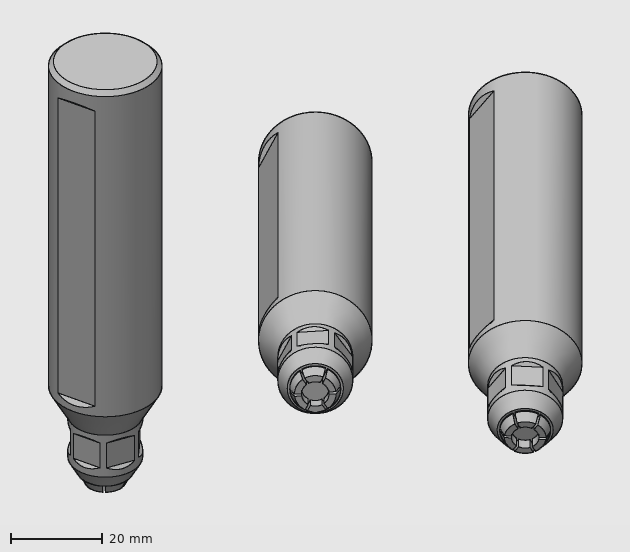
import cadquery as cq

total_length = 110.0
body_diameter = 25.0
top_chamfer = 1.1

collet_height = 2.6
collet_rim = 0.3
neck_bottom = 6.4
neck_top = 17.4
body_bottom = 25.0

neck_diameter = 16.5
nose_diameter = 12.3
collet_diameter = 11.2
tip_diameter = 9.1

bore_diameter = 6.0
slot_width = 0.5
slot_count = 6

body_flat_bottom = 26.6
body_flat_top = 105.9
body_flat_depth = 1.0
body_flat_count = 2

neck_flat_bottom = 8.0
neck_flat_top = 16.1
neck_flat_depth = 0.8
neck_flat_count = 6


def turned_shape():
    """Solid of revolution: collet tip, nose cone, neck, shoulder cone and body."""
    body_radius = body_diameter / 2
    outline = [
        (0, 0),
        (tip_diameter / 2, 0),
        (collet_diameter / 2, collet_height - collet_rim),
        (collet_diameter / 2, collet_height),
        (nose_diameter / 2, collet_height),
        (neck_diameter / 2, neck_bottom),
        (neck_diameter / 2, neck_top),
        (body_radius, body_bottom),
        (body_radius, total_length - top_chamfer),
        (body_radius - top_chamfer, total_length),
        (0, total_length),
    ]
    axis_end = (0, 1)
    return cq.Workplane("XZ").polyline(outline).close().revolve(360, (0, 0), axis_end)


def flat_cutter(diameter, bottom, top, depth, angle):
    """Cutter for a flat with 45-degree run-outs; at angle 0 the flat faces -Y."""
    radius = diameter / 2
    floor = radius - depth
    profile = [
        (-radius, bottom),
        (-floor, bottom + depth),
        (-floor, top - depth),
        (-radius, top),
    ]
    cutter = cq.Workplane("YZ").polyline(profile).close().extrude(radius, both=True)
    return cutter.rotate((0, 0, 0), (0, 0, 1), angle)


def cut_flats(shape, count, diameter, bottom, top, depth):
    """Cut evenly spaced flats around the axis."""
    for index in range(count):
        angle = index * 360 / count
        shape = shape.cut(flat_cutter(diameter, bottom, top, depth, angle))
    return shape


def cut_collet(shape):
    """Bore the tip and saw radial slots through the collet wall."""
    bore = cq.Workplane("XY").circle(bore_diameter / 2).extrude(collet_height)
    shape = shape.cut(bore)
    for index in range(slot_count // 2):
        slot = (
            cq.Workplane("XY")
            .rect(collet_diameter, slot_width)
            .extrude(collet_height)
            .rotate((0, 0, 0), (0, 0, 1), index * 360 / slot_count)
        )
        shape = shape.cut(slot)
    return shape


result = turned_shape()
result = cut_flats(
    result, body_flat_count, body_diameter, body_flat_bottom, body_flat_top, body_flat_depth
)
result = cut_flats(
    result, neck_flat_count, neck_diameter, neck_flat_bottom, neck_flat_top, neck_flat_depth
)
result = cut_collet(result)